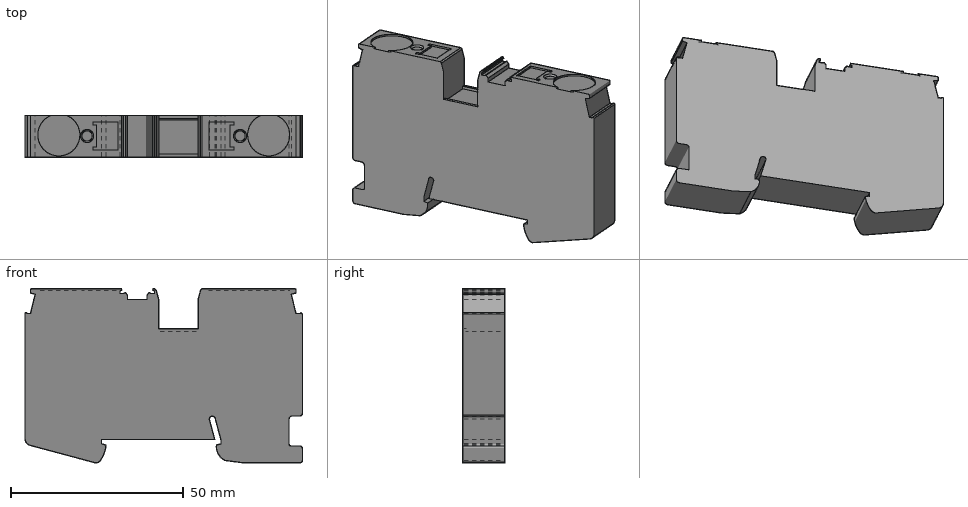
import cadquery as cq
import math

LENGTH = 80.6
WIDTH = 12.2
HEIGHT = 50.6

SLOPE = math.tan(math.radians(15))

SHOULDER_Z = 43.4
LIP_RISE = 0.25
LIP_WIDTH = 0.7
LIP_DROP = 0.2

LEFT_NOSE_X = 1.6
RIGHT_NOSE_X = LENGTH - 1.9
NOSE_DEPTH = 1.35
NOSE_ROOT_Z = 48.95
NOSE_TIP_Z = NOSE_ROOT_Z + NOSE_DEPTH * SLOPE
NOSE_ROUND = 0.4

GROOVE_CENTER_X = 32.6
GROOVE_HALF_WIDTH = 2.8
GROOVE_FLOOR_Z = 47.5
BEAD_BASE_Z = 48.7
BEAD_TOP_HALF_WIDTH = 3.45
BEAD_TOP_Z = 49.5
BEAD_END_HALF_WIDTH = 4.0
CATCH_BOTTOM_Z = 49.25
CATCH_HALF_WIDTH = 4.95
CATCH_TOP_Z = 49.9
HOOK_TIP_HALF_WIDTH = 4.45
HOOK_TIP_Z = 50.15
CREST_HALF_WIDTH = 4.6

GAP_LEFT_X = 38.85
GAP_RIGHT_X = 50.25
GAP_FLOOR_Z = 39.0
GAP_SLOPE_Z = 47.5
GAP_CREST_CHAMFER = 0.4
RIDGE_SHOULDER_Z = 50.1

GAP_RECESS_MARGIN = 0.95
GAP_RECESS_DEPTH = 0.8
GAP_RECESS_DRAFT = 0.45

RAIL_Z = 6.75
HOOK_X = 22.3
HOOK_UNDER_Z = 5.6
HOOK_POINT = (23.6, 5.2)
HOOK_FLANK_MIDDLE = (23.0, 2.7)
HOOK_FLANK_END = (21.9, 0.7)
HOOK_TOE_MIDDLE = (21.35, 0.2)
HOOK_TOE = (20.5, 0)
FOOT_CORNER_Z = HOOK_TOE[0] * SLOPE
FOOT_CORNER_ROUND = 2.1

SLOT_LEFT_X = 55.15
SLOT_WIDTH = 1.7
SLOT_ROUND_Z = 12.7
SLOT_TOP = (54.5, 13.55)
LATCH_X = 56.85
LATCH_Z = 5.55
LATCH_TIP = (55.55, 5.25)
LATCH_FLANK_MIDDLE = (56.5, 2.0)
LATCH_FLANK_END = (58.1, 0.7)
FOOT_FLAT_X = 63.5

NOTCH_X = 76.7
NOTCH_LOW_Z = 5.0
NOTCH_HIGH_Z = 13.6
NOTCH_LOW_ROUND = 0.5
NOTCH_HIGH_ROUND = 0.9
END_ROUND = 0.9

RECESS_DEPTH = 0.5
DISC_DIAMETER = 12.2
DISC_Y = 6.5
DISC_XS = (9.85, 70.75)
PIN_DIAMETER = 3.0
PIN_MOUTH_DIAMETER = 3.8
PIN_Y = 6.2
PIN_XS = (18.05, 62.45)
WINDOW_LENGTH = 7.25
WINDOW_LOW_Y = 2.15
WINDOW_HIGH_Y = 10.25
EAR_LENGTH = 1.15
EAR_WIDTH = 0.8
WINDOWS = ((19.7, 1), (60.7, -1))


def round_middle(center_x, center_z, radius, side):
    """Middle point of a quarter round above a centre, on its left (-1) or right (1)."""
    reach = radius * math.sqrt(0.5)
    return (center_x + side * reach, center_z + reach)


def groove_wall(side):
    """Points of one groove wall, crest to floor, on the left (-1) or right (1) of the groove."""
    wall = [
        (CREST_HALF_WIDTH, HEIGHT),
        (HOOK_TIP_HALF_WIDTH, HOOK_TIP_Z),
        (CATCH_HALF_WIDTH, CATCH_TOP_Z),
        (CATCH_HALF_WIDTH, CATCH_BOTTOM_Z),
        (BEAD_END_HALF_WIDTH, CATCH_BOTTOM_Z),
        (BEAD_TOP_HALF_WIDTH, BEAD_TOP_Z),
        (GROOVE_HALF_WIDTH, BEAD_BASE_Z),
        (GROOVE_HALF_WIDTH, GROOVE_FLOOR_Z),
    ]
    return [(GROOVE_CENTER_X + side * half_width, z) for half_width, z in wall]


def draw_left_end(outline):
    """Left end face, shoulder lip and nose, going up."""
    round_x = LEFT_NOSE_X + NOSE_ROUND
    round_z = HEIGHT - NOSE_ROUND
    return (
        outline.lineTo(0, SHOULDER_Z)
        .threePointArc((LIP_WIDTH / 2, SHOULDER_Z + LIP_RISE), (LIP_WIDTH, SHOULDER_Z))
        .lineTo(LEFT_NOSE_X, SHOULDER_Z)
        .lineTo(LEFT_NOSE_X + NOSE_DEPTH, NOSE_ROOT_Z)
        .lineTo(LEFT_NOSE_X, NOSE_TIP_Z)
        .lineTo(LEFT_NOSE_X, round_z)
        .threePointArc(round_middle(round_x, round_z, NOSE_ROUND, -1), (round_x, HEIGHT))
    )


def draw_groove(outline):
    """Marker groove, down its left wall and up its right wall."""
    for point in groove_wall(-1) + groove_wall(1)[::-1]:
        outline = outline.lineTo(*point)
    return outline


def draw_gap(outline):
    """Ridge beside the groove, then the gap with its flared top."""
    ridge_x = GAP_LEFT_X - (RIDGE_SHOULDER_Z - GAP_SLOPE_Z) * SLOPE
    chamfer_z = HEIGHT - GAP_CREST_CHAMFER
    chamfer_x = GAP_RIGHT_X + (chamfer_z - GAP_SLOPE_Z) * SLOPE
    return (
        outline.lineTo(ridge_x - (HEIGHT - RIDGE_SHOULDER_Z), HEIGHT)
        .lineTo(ridge_x, RIDGE_SHOULDER_Z)
        .lineTo(GAP_LEFT_X, GAP_SLOPE_Z)
        .lineTo(GAP_LEFT_X, GAP_FLOOR_Z)
        .lineTo(GAP_RIGHT_X, GAP_FLOOR_Z)
        .lineTo(GAP_RIGHT_X, GAP_SLOPE_Z)
        .lineTo(chamfer_x, chamfer_z)
        .lineTo(chamfer_x + GAP_CREST_CHAMFER, HEIGHT)
    )


def draw_right_end(outline):
    """Right nose, shoulder lip and plain end face, going down."""
    round_x = RIGHT_NOSE_X - NOSE_ROUND
    round_z = HEIGHT - NOSE_ROUND
    lip_x = LENGTH - LIP_WIDTH
    return (
        outline.lineTo(round_x, HEIGHT)
        .threePointArc(round_middle(round_x, round_z, NOSE_ROUND, 1), (RIGHT_NOSE_X, round_z))
        .lineTo(RIGHT_NOSE_X, NOSE_TIP_Z)
        .lineTo(RIGHT_NOSE_X - NOSE_DEPTH, NOSE_ROOT_Z)
        .lineTo(RIGHT_NOSE_X, SHOULDER_Z)
        .lineTo(lip_x, SHOULDER_Z)
        .lineTo(lip_x + LIP_RISE, SHOULDER_Z + LIP_RISE)
        .lineTo(LENGTH, SHOULDER_Z - LIP_DROP)
        .lineTo(LENGTH, 0)
    )


def draw_foot(outline):
    """Latch, spring slot, rail seat and left hook, going left."""
    slot_left_top_x = SLOT_LEFT_X - (SLOT_ROUND_Z - RAIL_Z) * SLOPE
    return (
        outline.lineTo(FOOT_FLAT_X, 0)
        .lineTo(*LATCH_FLANK_END)
        .threePointArc(LATCH_FLANK_MIDDLE, LATCH_TIP)
        .lineTo(LATCH_X, LATCH_Z)
        .lineTo(LATCH_X, RAIL_Z)
        .lineTo(slot_left_top_x + SLOT_WIDTH, SLOT_ROUND_Z)
        .threePointArc(SLOT_TOP, (slot_left_top_x, SLOT_ROUND_Z))
        .lineTo(SLOT_LEFT_X, RAIL_Z)
        .lineTo(HOOK_X, RAIL_Z)
        .lineTo(HOOK_X, HOOK_UNDER_Z)
        .lineTo(*HOOK_POINT)
        .threePointArc(HOOK_FLANK_MIDDLE, HOOK_FLANK_END)
        .threePointArc(HOOK_TOE_MIDDLE, HOOK_TOE)
    )


def body():
    """Side outline of the housing, extruded across its width."""
    outline = cq.Workplane("XZ").moveTo(0, FOOT_CORNER_Z)
    outline = draw_left_end(outline)
    outline = draw_groove(outline)
    outline = draw_gap(outline)
    outline = draw_right_end(outline)
    outline = draw_foot(outline)
    return outline.close().extrude(-WIDTH)


def end_notch():
    """Notch through the right end, rounded in its inner corners."""
    return (
        cq.Workplane("XY")
        .box(LENGTH - NOTCH_X, WIDTH, NOTCH_HIGH_Z - NOTCH_LOW_Z, centered=False)
        .translate((NOTCH_X, 0, NOTCH_LOW_Z))
        .edges("|Y and <X and <Z")
        .fillet(NOTCH_LOW_ROUND)
        .edges("|Y and <X and >Z")
        .fillet(NOTCH_HIGH_ROUND)
    )


def round_end(housing, end_x, top_z, radius):
    """Round the corners of the end face at end_x, from the foot up to height top_z."""
    reach = radius / 2
    corners = cq.selectors.BoxSelector(
        (end_x - reach, -reach, -reach),
        (end_x + reach, WIDTH + reach, top_z + reach),
    )
    return housing.edges("|Y").edges(corners).fillet(radius)


def gap_recess():
    """Shallow recess in the gap floor, with a drafted wall on its +Y side."""
    low_y = GAP_RECESS_MARGIN
    high_y = WIDTH - GAP_RECESS_MARGIN
    recess_z = GAP_FLOOR_Z - GAP_RECESS_DEPTH
    return (
        cq.Workplane("YZ", origin=(GAP_LEFT_X, 0, 0))
        .moveTo(low_y, GAP_FLOOR_Z)
        .lineTo(high_y, GAP_FLOOR_Z)
        .lineTo(high_y - GAP_RECESS_DRAFT, recess_z)
        .lineTo(low_y, recess_z)
        .close()
        .extrude(GAP_RIGHT_X - GAP_LEFT_X)
    )


def recess_plane(x=0, y=0):
    """Workplane at the floor of the top recesses."""
    return cq.Workplane("XY", origin=(x, y, HEIGHT - RECESS_DEPTH))


def disc(x):
    """Large round recess that breaks out through the back face."""
    return recess_plane(x, DISC_Y).circle(DISC_DIAMETER / 2).extrude(RECESS_DEPTH)


def pin_hole(x):
    """Small conical recess, wider at its mouth."""
    return (
        recess_plane(x, PIN_Y)
        .circle(PIN_DIAMETER / 2)
        .workplane(offset=RECESS_DEPTH)
        .circle(PIN_MOUTH_DIAMETER / 2)
        .loft()
    )


def window(x, inward):
    """Rectangular recess with two ears at its outer end."""
    neck_x = x + inward * EAR_LENGTH
    far_x = x + inward * WINDOW_LENGTH
    low_ear_y = WINDOW_LOW_Y + EAR_WIDTH
    high_ear_y = WINDOW_HIGH_Y - EAR_WIDTH
    return (
        recess_plane()
        .moveTo(x, WINDOW_LOW_Y)
        .lineTo(far_x, WINDOW_LOW_Y)
        .lineTo(far_x, WINDOW_HIGH_Y)
        .lineTo(x, WINDOW_HIGH_Y)
        .lineTo(x, high_ear_y)
        .lineTo(neck_x, high_ear_y)
        .lineTo(neck_x, low_ear_y)
        .lineTo(x, low_ear_y)
        .close()
        .extrude(RECESS_DEPTH)
    )


result = body().cut(end_notch())
result = round_end(result, LENGTH, NOTCH_HIGH_Z, END_ROUND)
result = round_end(result, 0, FOOT_CORNER_Z, FOOT_CORNER_ROUND)
result = result.cut(gap_recess())
for disc_x in DISC_XS:
    result = result.cut(disc(disc_x))
for pin_x in PIN_XS:
    result = result.cut(pin_hole(pin_x))
for window_x, window_direction in WINDOWS:
    result = result.cut(window(window_x, window_direction))